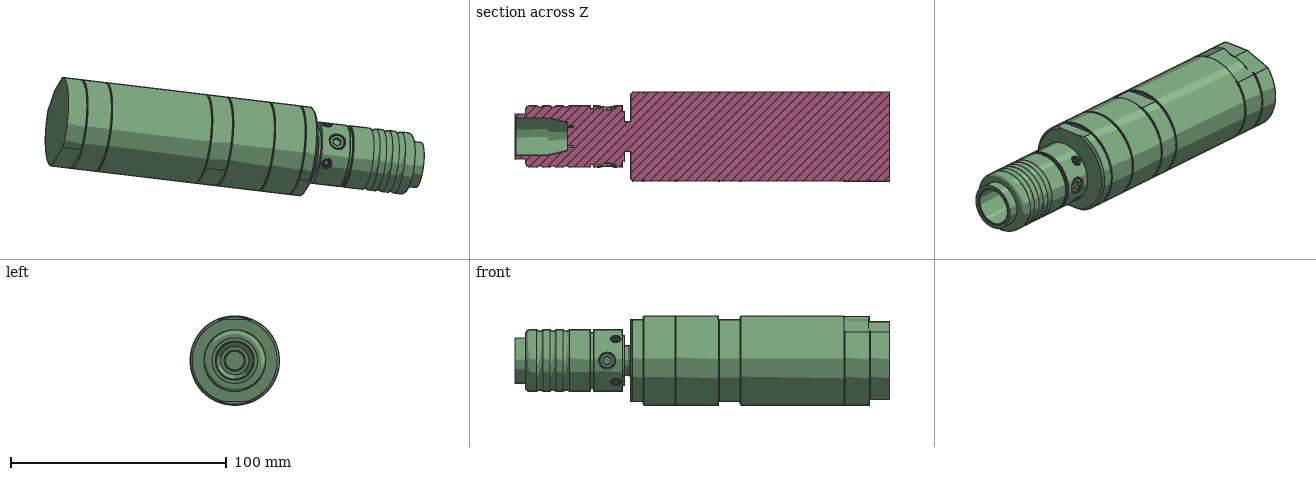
import cadquery as cq
import math

LENGTH = 173.5

NOSE_DIA = 21.2
SLEEVE_START = 4.9
SLEEVE_DIA = 28.6
SLEEVE_ROUND = 2.0
SLEEVE_END = 35.0
GAP_DIA = 26.0
COLLAR_START = 36.3
COLLAR_END = 49.8
EDGE_CHAMFER = 0.3
RING_DIA = 23.0
RING_END = 50.8
NECK_DIA = 13.9
NECK_END = 53.0
HUB_DIA = 14.0

GRIP_STARTS = (10.0, 16.1, 22.2)
GRIP_WIDTH = 3.0
GRIP_DEPTH = 0.6

MOUTH_DIA = 18.0
BORE_DIA = 17.2
MOUTH_DEPTH = 0.5
CONE_START = 15.6
CONE_END = 24.3
CONE_END_DIA = 13.0
SOCKET_DIA = 9.9
SOCKET_DEPTH = 2.6
PIN_DIA = 8.7

BODY_DIA = 41.5
HEAD_START = 53.6
HEAD_CHAMFER_LENGTH = 0.9
HEAD_CHAMFER_HEIGHT = 1.0
HEAD_END = 59.3
WAIST_START = 94.2
WAIST_END = 104.3
BAND_START = 152.3
BAND_END = 164.1
SEAM_X = 74.0
GROOVE_WIDTH = 0.5
GROOVE_DEPTH = 0.5

WRENCH_FLATS = 38.0
TAIL_FLATS = 36.1
SLANT_ANGLE = 20.5
CORE_DIA = WRENCH_FLATS
CORE_END = 163.8

SIDE_SCREW_X = 42.7
SIDE_SCREW = (7.8, 6.6, 3.6)
SIDE_SCREW_ANGLES = (90, 270)
SMALL_SCREW_X = 46.7
SMALL_SCREW = (4.7, 3.6, 2.3)
SMALL_SCREW_ANGLES = (45, 135, 225, 315)
SCREW_RECESS = 0.5
SCREW_GAP_DEPTH = 0.9
HEX_DEPTH = 1.4

CUT_MARGIN = 1.7


def cylinder(start, end, diameter):
    return cq.Workplane("YZ", origin=(start, 0, 0)).circle(diameter / 2).extrude(end - start)


def ring_groove(start, width, diameter, depth):
    """Ring that cuts a square groove into a cylinder of the given diameter."""
    outer = cylinder(start, start + width, diameter + CUT_MARGIN)
    return outer.cut(cylinder(start, start + width, diameter - 2 * depth))


def slab(start, end, distance, angle):
    """Block outside a flat facing +Z, turned about X by the angle (positive turns it towards -Y)."""
    block = cq.Workplane("XY").box(end - start, BODY_DIA, BODY_DIA, centered=(False, True, False))
    return block.translate((start, 0, distance)).rotate((0, 0, 0), (1, 0, 0), angle)


def grip_groove(start):
    radius = SLEEVE_DIA / 2
    profile = (
        cq.Workplane("XY")
        .moveTo(start, radius)
        .threePointArc((start + GRIP_WIDTH / 2, radius - GRIP_DEPTH), (start + GRIP_WIDTH, radius))
        .lineTo(start + GRIP_WIDTH, radius + CUT_MARGIN)
        .lineTo(start, radius + CUT_MARGIN)
        .close()
    )
    return profile.revolve(360, (0, 0, 0), (1, 0, 0))


def make_connector():
    sleeve = cylinder(SLEEVE_START, SLEEVE_END, SLEEVE_DIA)
    sleeve = sleeve.faces("<X").edges().fillet(SLEEVE_ROUND)
    sleeve = sleeve.faces(">X").edges().chamfer(EDGE_CHAMFER)
    for start in GRIP_STARTS:
        sleeve = sleeve.cut(grip_groove(start))
    return (
        cylinder(0, SLEEVE_START, NOSE_DIA)
        .union(sleeve)
        .union(cylinder(SLEEVE_END, COLLAR_START, GAP_DIA))
        .union(cylinder(COLLAR_START, COLLAR_END, SLEEVE_DIA).faces("<X").edges().chamfer(EDGE_CHAMFER))
        .union(cylinder(COLLAR_END, RING_END, RING_DIA))
        .union(cylinder(RING_END, NECK_END, NECK_DIA))
        .union(cylinder(NECK_END, HEAD_START, HUB_DIA))
    )


def make_nose_bore():
    cone = (
        cq.Workplane("YZ", origin=(CONE_START, 0, 0))
        .circle(BORE_DIA / 2)
        .workplane(offset=CONE_END - CONE_START)
        .circle(CONE_END_DIA / 2)
        .loft()
    )
    socket_end = CONE_END + SOCKET_DEPTH
    return (
        cylinder(0, MOUTH_DEPTH, MOUTH_DIA)
        .union(cylinder(MOUTH_DEPTH, CONE_START, BORE_DIA))
        .union(cone)
        .union(cylinder(CONE_END, socket_end, SOCKET_DIA))
        .cut(cylinder(CONE_END, socket_end, PIN_DIA))
    )


def screw_recess(x, hole_dia, screw_dia, hex_width, angle):
    """Clearance gap and hexagon socket around a set screw, made facing +Z and turned about X."""
    screw_top = SLEEVE_DIA / 2 - SCREW_RECESS
    gap_floor = screw_top - SCREW_GAP_DEPTH
    base = cq.Workplane("XY", origin=(x, 0, gap_floor))
    hole = base.circle(hole_dia / 2).extrude(SCREW_GAP_DEPTH + SCREW_RECESS)
    screw = base.circle(screw_dia / 2).extrude(SCREW_GAP_DEPTH)
    hexagon = (
        cq.Workplane("XY", origin=(x, 0, screw_top - HEX_DEPTH))
        .transformed(rotate=(0, 0, 90))
        .polygon(6, hex_width / math.cos(math.pi / 6))
        .extrude(HEX_DEPTH)
    )
    return hole.cut(screw).union(hexagon).rotate((0, 0, 0), (1, 0, 0), angle)


def make_body():
    body = cylinder(HEAD_START, LENGTH, BODY_DIA)
    body = body.faces("<X").edges().chamfer(HEAD_CHAMFER_LENGTH, HEAD_CHAMFER_HEIGHT)
    for start in (HEAD_END, SEAM_X, WAIST_START, WAIST_END, BAND_START, BAND_END):
        body = body.cut(ring_groove(start, GROOVE_WIDTH, BODY_DIA, GROOVE_DEPTH))
    for angle in (0, 180):
        body = body.cut(slab(HEAD_START, HEAD_END, WRENCH_FLATS / 2, angle))
        body = body.cut(slab(WAIST_START, WAIST_END, WRENCH_FLATS / 2, angle))
        body = body.cut(slab(BAND_END, LENGTH, TAIL_FLATS / 2, angle))
    slant = slab(BAND_START, LENGTH, TAIL_FLATS / 2, SLANT_ANGLE)
    return body.cut(slant.cut(cylinder(BAND_START, CORE_END, CORE_DIA)))


result = make_connector().union(make_body()).cut(make_nose_bore())
for side_angle in SIDE_SCREW_ANGLES:
    result = result.cut(screw_recess(SIDE_SCREW_X, *SIDE_SCREW, side_angle))
for small_angle in SMALL_SCREW_ANGLES:
    result = result.cut(screw_recess(SMALL_SCREW_X, *SMALL_SCREW, small_angle))